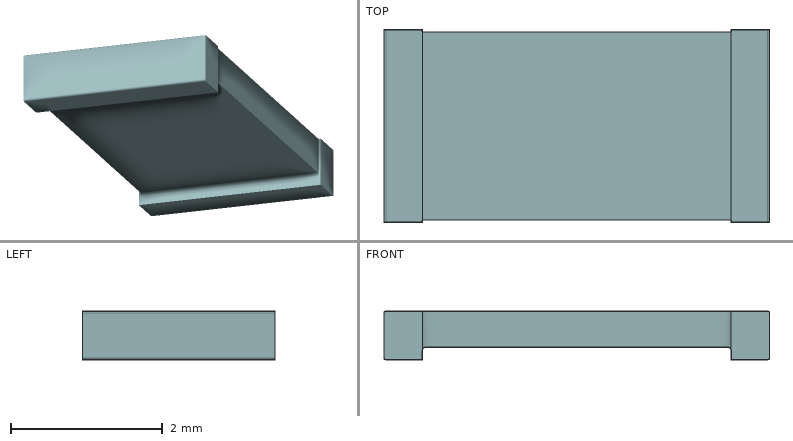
import cadquery as cq

length = 5.08
width = 2.54
height = 0.64

terminal_length = 0.51
terminal_edge_radius = 0.025

side_step = 0.03
substrate_width = width - 2 * side_step
substrate_thickness = 0.48
root_radius = 0.04

inner_half_length = length / 2 - terminal_length
substrate_bottom = height - substrate_thickness


def make_substrate():
    """Plate between the terminals, with its underside curving down to meet each of them."""
    root_x = inner_half_length - root_radius
    root_z = substrate_bottom - root_radius
    arc_dip = root_radius * (1 - 0.5 ** 0.5)
    arc_mid_x = inner_half_length - arc_dip
    arc_mid_z = substrate_bottom - arc_dip
    return (
        cq.Workplane("XZ")
        .moveTo(-inner_half_length, height)
        .lineTo(inner_half_length, height)
        .lineTo(inner_half_length, root_z)
        .threePointArc((arc_mid_x, arc_mid_z), (root_x, substrate_bottom))
        .lineTo(-root_x, substrate_bottom)
        .threePointArc((-arc_mid_x, arc_mid_z), (-inner_half_length, root_z))
        .close()
        .extrude(substrate_width / 2, both=True)
    )


def make_terminal(side):
    """End block on the -X (side = -1) or +X (side = 1) end, with rounded outer edges."""
    outer_face = ">X" if side > 0 else "<X"
    return (
        cq.Workplane("XY")
        .box(terminal_length, width, height, centered=(True, True, False))
        .faces(outer_face)
        .edges("|Y")
        .fillet(terminal_edge_radius)
        .translate((side * (length - terminal_length) / 2, 0, 0))
    )


substrate = make_substrate()
terminals = [make_terminal(side) for side in (-1, 1)]

result = cq.Compound.makeCompound([substrate.val(), *[terminal.val() for terminal in terminals]])